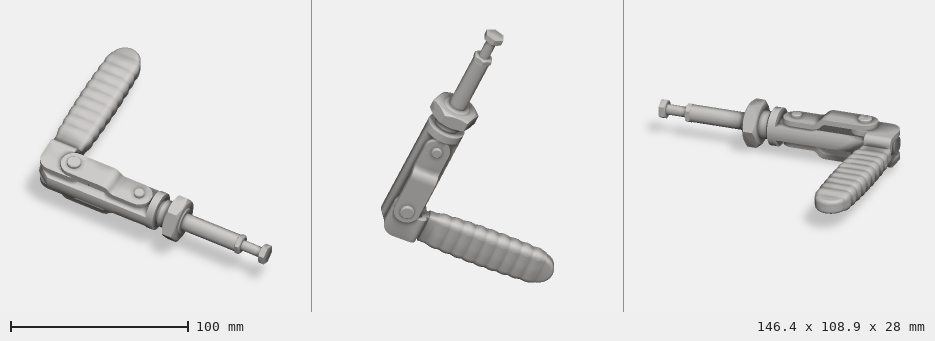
import cadquery as cq
import math


PLATE = 3.0
ARM_INNER_Z = 6.0
ARM_OUTER_Z = ARM_INNER_Z + PLATE
LINK_OUTER_Z = ARM_OUTER_Z + PLATE
LINK_PIN_X = 12.5
PLUNGER_PIN_X = 53.8

REAR_X = -7.0
REAR_RADIUS = 5.0
CONE_END_X = 1.0
BODY_RADIUS = 11.0
SLAB_HALF = 3.9
FLANGE_X = 63.0
FLANGE_END_X = 67.5
UNDERCUT_RADIUS = 7.0
THREAD_X = 69.2
THREAD_RADIUS = 8.0
HOUSING_END_X = 82.8
THREAD_CHAMFER = 0.6
SLOT_X = 8.0
SLOT_END_X = 59.0
PIVOT_PIN_DIA = 5.0
SPACER_DIA = 10.0

MOUNT_NUT_X = 74.0
MOUNT_NUT_THICKNESS = 8.2
MOUNT_NUT_FLATS = 24.0
PLUNGER_DIA = 10.0
PLUNGER_X = 48.0
PLUNGER_END_X = 116.3
BOLT_DIA = 6.0
BOLT_FLATS = 10.0
JAM_NUT_THICKNESS = 3.2
BOLT_DEPTH = 10.0
BOLT_HEAD_X = 131.4
BOLT_HEAD_THICKNESS = 3.8
HEX_CHAMFER_ANGLE = 30.0
FACE_CIRCLE_RATIO = 0.95

ARM_RADIUS = 8.0
WALL_Y = 11.0
BEND_INNER = 0.6
BEND_OUTER = BEND_INNER + PLATE
GRIP_X = 7.1
TIP_X = 6.7
GRIP_Z = 1.95
GRIP_ROUND = 2.1
GRIP_START_Y = 15.7
GRIP_END_Y = 95.0
GROOVE_FIRST_Y = 21.7
GROOVE_PITCH = 7.15
GROOVE_COUNT = 10
GROOVE_HALF = 1.45
GROOVE_DEPTH = 0.3
RIB_BULGE = 0.3
SWELL_MAX = 3.79
SWELL_END = 2.8

LINK_RADIUS = 7.5
LINK_LOW_Z = PLUNGER_DIA / 2
BEND_START_X = 33.6
FIRST_BEND_INNER = 3.0
SECOND_BEND_INNER = 4.0
STUD_DIA = 5.0
STUD_REACH = 1.0
STUD_HEAD_DIA = 8.0
CROSS_PIN_DIA = 6.0
HEAD_HEIGHT = 2.0
HEAD_CHAMFER = 0.5


def rod_x(x0, x1, diameter):
    """Cylinder on the X axis from x0 to x1."""
    return cq.Workplane("YZ", origin=(x0, 0, 0)).circle(diameter / 2).extrude(x1 - x0)


def rod_z(x, z0, z1, diameter):
    """Cylinder parallel to Z at (x, 0) from z0 to z1."""
    return cq.Workplane("XY", origin=(x, 0, z0)).circle(diameter / 2).extrude(z1 - z0)


def hexagon(x0, thickness, flats, turn, chamfer_rear, chamfer_front):
    """Hexagon prism along X, its corners cut by 30 degree cones."""
    corner = flats / math.sqrt(3)
    face = flats / 2 * FACE_CIRCLE_RATIO
    length = (corner - face) * math.tan(math.radians(HEX_CHAMFER_ANGLE))
    x1 = x0 + thickness
    prism = cq.Workplane("YZ", origin=(x0, 0, 0)).polygon(6, 2 * corner).extrude(thickness)
    prism = prism.rotate((0, 0, 0), (1, 0, 0), turn)
    outline = cq.Workplane("XY").moveTo(x0, 0)
    if chamfer_rear:
        outline = outline.lineTo(x0, face).lineTo(x0 + length, corner)
    else:
        outline = outline.lineTo(x0, corner)
    if chamfer_front:
        outline = outline.lineTo(x1 - length, corner).lineTo(x1, face)
    else:
        outline = outline.lineTo(x1, corner)
    envelope = outline.lineTo(x1, 0).close().revolve(360, (0, 0, 0), (1, 0, 0))
    return prism.intersect(envelope)


def make_housing():
    turned = (
        cq.Workplane("XY")
        .moveTo(REAR_X, 0)
        .lineTo(REAR_X, REAR_RADIUS)
        .lineTo(CONE_END_X, BODY_RADIUS)
        .lineTo(FLANGE_END_X, BODY_RADIUS)
        .lineTo(FLANGE_END_X, UNDERCUT_RADIUS)
        .lineTo(THREAD_X, UNDERCUT_RADIUS)
        .lineTo(THREAD_X, THREAD_RADIUS)
        .lineTo(HOUSING_END_X - THREAD_CHAMFER, THREAD_RADIUS)
        .lineTo(HOUSING_END_X, THREAD_RADIUS - THREAD_CHAMFER)
        .lineTo(HOUSING_END_X, 0)
        .close()
        .revolve(360, (0, 0, 0), (1, 0, 0))
    )
    flat_length = FLANGE_X - REAR_X
    for side in (1, -1):
        block = cq.Workplane("XY").box(flat_length, 2 * BODY_RADIUS, BODY_RADIUS)
        middle_z = side * (SLAB_HALF + BODY_RADIUS / 2)
        turned = turned.cut(block.translate((REAR_X + flat_length / 2, 0, middle_z)))
    slot = (
        cq.Workplane("XY")
        .center((SLOT_X + SLOT_END_X) / 2, 0)
        .slot2D(SLOT_END_X - SLOT_X, PLUNGER_DIA)
        .extrude(SLAB_HALF, both=True)
    )
    bore = rod_x(PLUNGER_X, HOUSING_END_X, PLUNGER_DIA)
    turned = turned.cut(slot).cut(bore)
    spacer = rod_z(0, -ARM_INNER_Z, 0, SPACER_DIA)
    pivot_pin = rod_z(0, -ARM_OUTER_Z, ARM_OUTER_Z, PIVOT_PIN_DIA)
    return turned.union(spacer).union(pivot_pin)


def make_bracket():
    neck_y = WALL_Y + BEND_OUTER
    arm_y = WALL_Y + PLATE - BEND_OUTER
    diagonal = math.sqrt(0.5)
    half = (
        cq.Workplane("YZ")
        .moveTo(-ARM_RADIUS, ARM_INNER_Z)
        .lineTo(WALL_Y - BEND_INNER, ARM_INNER_Z)
        .radiusArc((WALL_Y, ARM_INNER_Z - BEND_INNER), BEND_INNER)
        .lineTo(WALL_Y, BEND_OUTER)
        .threePointArc((neck_y - BEND_OUTER * diagonal, BEND_OUTER - BEND_OUTER * diagonal),
                       (neck_y, 0))
        .lineTo(GRIP_START_Y, 0)
        .lineTo(GRIP_START_Y, PLATE)
        .lineTo(neck_y, PLATE)
        .threePointArc((neck_y - BEND_INNER * diagonal, BEND_OUTER - BEND_INNER * diagonal),
                       (neck_y - BEND_INNER, BEND_OUTER))
        .lineTo(WALL_Y + PLATE, ARM_OUTER_Z - BEND_OUTER)
        .threePointArc((arm_y + BEND_OUTER * diagonal, ARM_OUTER_Z - BEND_OUTER + BEND_OUTER * diagonal),
                       (arm_y, ARM_OUTER_Z))
        .lineTo(-ARM_RADIUS, ARM_OUTER_Z)
        .close()
        .extrude(LINK_PIN_X + ARM_RADIUS, both=True)
    )
    sheet = half.union(half.mirror("XY"))
    arm = (
        cq.Workplane("XY")
        .center(LINK_PIN_X / 2, 0)
        .slot2D(LINK_PIN_X + 2 * ARM_RADIUS, 2 * ARM_RADIUS)
        .extrude(LINK_OUTER_Z, both=True)
    )
    neck = (
        cq.Workplane("XY")
        .center(0, GRIP_START_Y / 2)
        .rect(2 * ARM_RADIUS, GRIP_START_Y)
        .extrude(LINK_OUTER_Z, both=True)
    )
    bracket = sheet.intersect(arm.union(neck))
    bracket = bracket.cut(rod_z(0, -ARM_OUTER_Z, ARM_OUTER_Z, PIVOT_PIN_DIA))
    return bracket.cut(rod_z(LINK_PIN_X, -ARM_OUTER_Z, ARM_OUTER_Z, STUD_DIA))


def swell(y):
    """Edge round of the grip at y: an arc that is highest at the middle."""
    half_span = GROOVE_PITCH * (GROOVE_COUNT - 1) / 2
    rise = SWELL_MAX - SWELL_END
    radius = (half_span ** 2 + rise ** 2) / (2 * rise)
    offset = y - (GROOVE_FIRST_Y + half_span)
    return SWELL_MAX - radius + math.sqrt(radius ** 2 - offset ** 2)


def rib_profile(reach):
    """Half profile of the ribs in XY, shifted outward from x = 0 by reach."""
    last = GROOVE_FIRST_Y + GROOVE_PITCH * (GROOVE_COUNT - 1)
    start_y = GROOVE_FIRST_Y - GROOVE_HALF
    end_y = last + GROOVE_HALF
    profile = cq.Workplane("XY").moveTo(0, start_y).lineTo(reach + GRIP_ROUND, start_y)
    for i in range(GROOVE_COUNT - 1):
        groove_y = GROOVE_FIRST_Y + i * GROOVE_PITCH
        rib_start = groove_y + GROOVE_HALF
        rib_mid = groove_y + GROOVE_PITCH / 2
        rib_end = groove_y + GROOVE_PITCH - GROOVE_HALF
        profile = (
            profile.lineTo(reach + swell(groove_y) - GROOVE_DEPTH, groove_y)
            .lineTo(reach + swell(rib_start), rib_start)
            .threePointArc((reach + swell(rib_mid) + RIB_BULGE, rib_mid),
                           (reach + swell(rib_end), rib_end))
        )
    profile = profile.lineTo(reach + swell(last) - GROOVE_DEPTH, last)
    return profile.lineTo(reach + GRIP_ROUND, end_y).lineTo(0, end_y).close()


def make_grip():
    thickness = 2 * (GRIP_Z + GRIP_ROUND)
    collar_width = 2 * (GRIP_X + GRIP_ROUND)
    collar_length = GROOVE_FIRST_Y - GRIP_START_Y
    collar = cq.Workplane("XY").box(collar_width, collar_length, thickness).edges("|Y").fillet(GRIP_ROUND)
    collar = collar.translate((0, GRIP_START_Y + collar_length / 2, 0))
    tip_radius = TIP_X + GRIP_ROUND
    tip_y = GRIP_END_Y - tip_radius
    core = (
        cq.Workplane("XY")
        .moveTo(-tip_radius, GRIP_START_Y)
        .lineTo(tip_radius, GRIP_START_Y)
        .lineTo(tip_radius, tip_y)
        .threePointArc((0, GRIP_END_Y), (-tip_radius, tip_y))
        .close()
        .extrude(thickness / 2, both=True)
    )
    core = core.faces("|Z").edges("not <Y").fillet(GRIP_ROUND)
    ribs = rib_profile(GRIP_X).extrude(GRIP_Z, both=True)
    ribs = ribs.union(ribs.mirror("YZ"))
    broad = rib_profile(GRIP_Z).extrude(GRIP_X, both=True)
    broad = broad.union(broad.mirror("YZ")).rotate((0, 0, 0), (0, 1, 0), 90)
    ribs = ribs.union(broad)
    turned = rib_profile(0).revolve(360, (0, 0, 0), (0, 1, 0))
    for x in (GRIP_X, -GRIP_X):
        for z in (GRIP_Z, -GRIP_Z):
            ribs = ribs.union(turned.translate((x, 0, z)))
    return collar.union(core).union(ribs)


def make_link_plate():
    low_outer = LINK_LOW_Z + PLATE
    r1 = FIRST_BEND_INNER
    r2 = SECOND_BEND_INNER
    drop = ARM_OUTER_Z - LINK_LOW_Z
    angle = math.acos(1 - drop / (r1 + PLATE + r2))
    sin_a, cos_a = math.sin(angle), math.cos(angle)
    sin_h, cos_h = math.sin(angle / 2), math.cos(angle / 2)
    z1 = ARM_OUTER_Z - r1
    z2 = low_outer + r2
    x1 = BEND_START_X
    x2 = x1 + (r1 + PLATE + r2) * sin_a
    start_x = LINK_PIN_X - LINK_RADIUS
    end_x = PLUNGER_PIN_X + LINK_RADIUS
    outer1 = r1 + PLATE
    outer2 = r2 + PLATE
    side = (
        cq.Workplane("XZ")
        .moveTo(start_x, ARM_OUTER_Z)
        .lineTo(x1, ARM_OUTER_Z)
        .threePointArc((x1 + r1 * sin_h, z1 + r1 * cos_h), (x1 + r1 * sin_a, z1 + r1 * cos_a))
        .threePointArc((x2 - outer2 * sin_h, z2 - outer2 * cos_h), (x2, LINK_LOW_Z))
        .lineTo(end_x, LINK_LOW_Z)
        .lineTo(end_x, low_outer)
        .lineTo(x2, low_outer)
        .threePointArc((x2 - r2 * sin_h, z2 - r2 * cos_h), (x2 - r2 * sin_a, z2 - r2 * cos_a))
        .threePointArc((x1 + outer1 * sin_h, z1 + outer1 * cos_h), (x1, LINK_OUTER_Z))
        .lineTo(start_x, LINK_OUTER_Z)
        .close()
        .extrude(LINK_RADIUS, both=True)
    )
    length = PLUNGER_PIN_X - LINK_PIN_X
    outline = (
        cq.Workplane("XY")
        .center(LINK_PIN_X + length / 2, 0)
        .slot2D(length + 2 * LINK_RADIUS, 2 * LINK_RADIUS)
        .extrude(LINK_OUTER_Z)
    )
    plate = side.intersect(outline)
    head_top = LINK_OUTER_Z + HEAD_HEIGHT
    head = rod_z(LINK_PIN_X, LINK_OUTER_Z, head_top, STUD_HEAD_DIA)
    head = head.faces(">Z").chamfer(HEAD_CHAMFER)
    stud = rod_z(LINK_PIN_X, ARM_INNER_Z - STUD_REACH, LINK_OUTER_Z, STUD_DIA)
    return plate.union(head).union(stud)


def make_link_pair():
    pin_half = LINK_LOW_Z + PLATE + HEAD_HEIGHT
    pin = rod_z(PLUNGER_PIN_X, -pin_half, pin_half, CROSS_PIN_DIA)
    pin = pin.faces("|Z").chamfer(HEAD_CHAMFER)
    plate = make_link_plate()
    return plate.union(pin).union(plate.mirror("XY"))


def make_plunger():
    plunger = rod_x(PLUNGER_X, PLUNGER_END_X, PLUNGER_DIA)
    plunger = plunger.cut(rod_z(PLUNGER_PIN_X, -PLUNGER_DIA, PLUNGER_DIA, CROSS_PIN_DIA))
    return plunger.cut(rod_x(PLUNGER_END_X - BOLT_DEPTH, PLUNGER_END_X, BOLT_DIA))


def make_mount_nut():
    nut = hexagon(MOUNT_NUT_X, MOUNT_NUT_THICKNESS, MOUNT_NUT_FLATS, 0, True, True)
    return nut.cut(rod_x(MOUNT_NUT_X, MOUNT_NUT_X + MOUNT_NUT_THICKNESS, 2 * THREAD_RADIUS))


def make_jam_nut():
    nut = hexagon(PLUNGER_END_X, JAM_NUT_THICKNESS, BOLT_FLATS, 90, True, True)
    return nut.cut(rod_x(PLUNGER_END_X, PLUNGER_END_X + JAM_NUT_THICKNESS, BOLT_DIA))


def make_bolt():
    head = hexagon(BOLT_HEAD_X, BOLT_HEAD_THICKNESS, BOLT_FLATS, 90, True, False)
    return head.union(rod_x(PLUNGER_END_X - BOLT_DEPTH, BOLT_HEAD_X, BOLT_DIA))


housing = make_housing()
handle = make_bracket().union(make_grip())
link_pair = make_link_pair()
plunger = make_plunger()
mount_nut = make_mount_nut()
jam_nut = make_jam_nut()
bolt = make_bolt()

bodies = [housing, handle, link_pair, plunger, mount_nut, jam_nut, bolt]
result = cq.Compound.makeCompound([body.solids().val() for body in bodies])